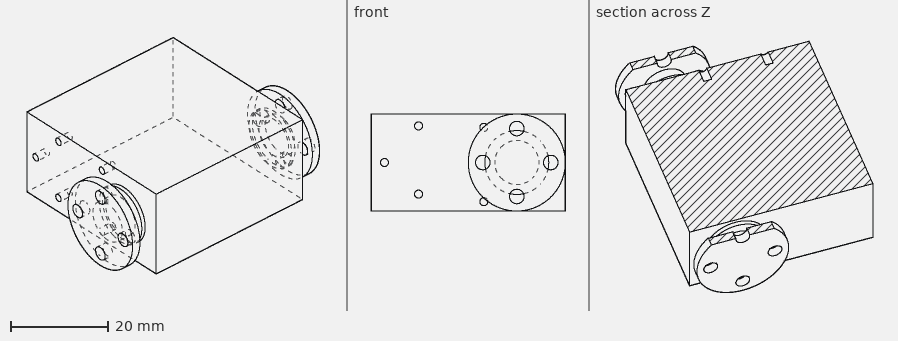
import cadquery as cq

width = 40.0
height = 20.0
body_length = 40.5

overall_length = 51.7
front_reach = 6.5
back_reach = overall_length - body_length - front_reach
flange_diameter = height
flange_thickness = 2.0
collar_diameter = 13.2
collar_thickness = 0.95
neck_diameter = 9.1
shaft_x = (width - flange_diameter) / 2

flange_hole_diameter = 3.0
flange_hole_spacing = 14.0
flange_hole_count = 4

mount_hole_diameter = 1.65
mount_hole_depth = 3.1
mount_hole_places = [
    (2.75, 0),
    (9.75, 7.55),
    (9.75, -6.5),
    (23.2, 7.25),
    (23.2, -8.05),
]


def make_shaft_end(reach):
    """Collar, neck and drilled flange rising along +Z from the origin."""
    collar = cq.Workplane("XY").circle(collar_diameter / 2).extrude(collar_thickness)
    neck = cq.Workplane("XY").circle(neck_diameter / 2).extrude(reach)
    flange = (
        cq.Workplane("XY")
        .workplane(offset=reach - flange_thickness)
        .circle(flange_diameter / 2)
        .extrude(flange_thickness)
        .faces(">Z")
        .workplane()
        .polarArray(flange_hole_spacing / 2, 0, 360, flange_hole_count)
        .hole(flange_hole_diameter)
    )
    return collar.union(neck).union(flange)


def make_body():
    """Rectangular block with the mounting holes in its front face."""
    block = cq.Workplane("XY").box(width, body_length, height).translate((0, body_length / 2, 0))
    centres = [(from_left - width / 2, z) for from_left, z in mount_hole_places]
    holes = (
        cq.Workplane("XZ")
        .pushPoints(centres)
        .circle(mount_hole_diameter / 2)
        .extrude(-mount_hole_depth)
    )
    return block.cut(holes)


front_end = make_shaft_end(front_reach).rotate((0, 0, 0), (1, 0, 0), 90)
back_end = make_shaft_end(back_reach).rotate((0, 0, 0), (1, 0, 0), -90)

result = (
    make_body()
    .union(front_end.translate((shaft_x, 0, 0)))
    .union(back_end.translate((shaft_x, body_length, 0)))
)